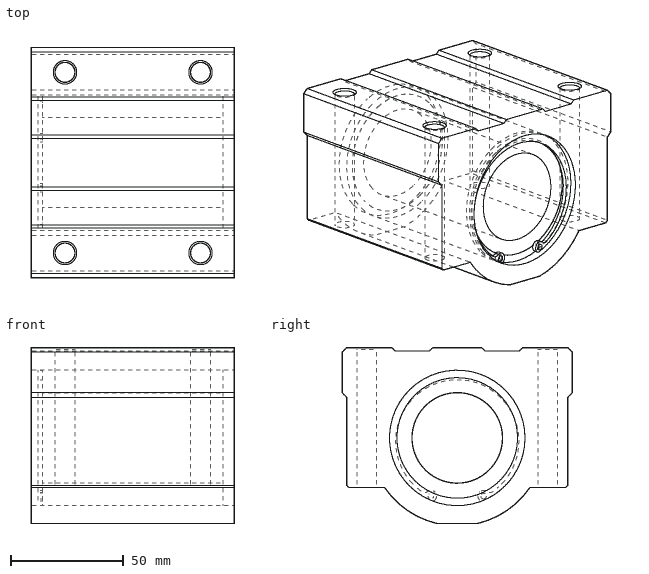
import cadquery as cq
import math


length = 90.0
bore_diameter = 60.0
top_z = 40.0
bottom_z = -38.0
flange_half_width = 51.0
flange_chamfer = 2.0
flange_bottom_z = 20.0
body_half_width = 49.0
body_bottom_z = -22.0
body_edge_chamfer = 1.0
belly_radius = 39.0

channel_depth = 1.5
channel_inner_y = 10.8
channel_outer_y = 29.0

hole_diameter = 8.7
hole_mouth_diameter = 10.4
hole_spacing_x = 60.0
hole_spacing_y = 80.0

bearing_length = 80.0
shaft_diameter = 40.0
seal_diameter = 53.4
seal_recess = 0.1

ring_thickness = 2.0
ring_opening_radius = 27.3
ring_opening_drop = 1.5
lug_y = 11.65
lug_center_radius = 28.25
lug_radius = 2.5
lug_hole_diameter = 2.5
lug_blend_radius = 2.0

bore_radius = bore_diameter / 2


def x_cylinder(radius, start_x, depth, y=0.0, z=0.0):
    """Cylinder along +X from start_x, with its axis at (y, z)."""
    return cq.Workplane("YZ", origin=(start_x, y, z)).circle(radius).extrude(depth)


def make_housing():
    belly_start_y = math.sqrt(belly_radius**2 - body_bottom_z**2)
    belly_flat_y = math.sqrt(belly_radius**2 - bottom_z**2)
    belly_mid = belly_radius / math.sqrt(2)
    step = flange_half_width - body_half_width

    block = (
        cq.Workplane("YZ", origin=(-length / 2, 0, 0))
        .moveTo(0, top_z)
        .lineTo(flange_half_width - flange_chamfer, top_z)
        .lineTo(flange_half_width, top_z - flange_chamfer)
        .lineTo(flange_half_width, flange_bottom_z)
        .lineTo(body_half_width, flange_bottom_z - step)
        .lineTo(body_half_width, body_bottom_z + body_edge_chamfer)
        .lineTo(body_half_width - body_edge_chamfer, body_bottom_z)
        .lineTo(belly_start_y, body_bottom_z)
        .threePointArc((belly_mid, -belly_mid), (belly_flat_y, bottom_z))
        .lineTo(0, bottom_z)
        .mirrorY()
        .extrude(length)
    )
    for side in (-1, 1):
        block = block.cut(make_channel(side))
    block = block.cut(x_cylinder(bore_radius, -length / 2, length))
    return cut_mounting_holes(block)


def make_channel(side):
    """Channel with 45-degree flanks, on the +Y (side = 1) or -Y (side = -1) half of the top."""
    floor_z = top_z - channel_depth
    return (
        cq.Workplane("YZ", origin=(-length / 2, 0, 0))
        .polyline([
            (side * channel_inner_y, top_z),
            (side * (channel_inner_y + channel_depth), floor_z),
            (side * (channel_outer_y - channel_depth), floor_z),
            (side * channel_outer_y, top_z),
        ])
        .close()
        .extrude(length)
    )


def cut_mounting_holes(block):
    """Four through holes with 45-degree countersunk mouths on the top face."""
    return (
        block.copyWorkplane(cq.Workplane("XY", origin=(0, 0, top_z)))
        .rarray(hole_spacing_x, hole_spacing_y, 2, 2)
        .cskHole(hole_diameter, hole_mouth_diameter, 90)
    )


def make_bearing():
    """Sleeve with a shallow round seal recess in each end face."""
    end_x = bearing_length / 2
    sleeve = x_cylinder(bore_radius, -end_x, bearing_length)
    sleeve = sleeve.cut(x_cylinder(shaft_diameter / 2, -end_x, bearing_length))
    for recess_x in (-end_x, end_x - seal_recess):
        sleeve = sleeve.cut(x_cylinder(seal_diameter / 2, recess_x, seal_recess))
    return sleeve


def make_ring():
    """Ring with an off-centre opening, open at the bottom between two drilled lugs."""
    start_x = -bearing_length / 2 - ring_thickness
    lug_z = -math.sqrt(lug_center_radius**2 - lug_y**2)
    bore_disc = x_cylinder(bore_radius, start_x, ring_thickness)
    ring = bore_disc.cut(x_cylinder(ring_opening_radius, start_x, ring_thickness, z=-ring_opening_drop))

    reach = 2.0
    gap = (
        cq.Workplane("YZ", origin=(start_x, 0, 0))
        .polyline([(0, 0), (-reach * lug_y, reach * lug_z), (reach * lug_y, reach * lug_z)])
        .close()
        .extrude(ring_thickness)
    )
    ring = ring.cut(gap)
    for side in (-1, 1):
        lug = x_cylinder(lug_radius, start_x, ring_thickness, y=side * lug_y, z=lug_z)
        ring = ring.union(lug.intersect(bore_disc))

    for side in (-1, 1):
        corner_box = cq.selectors.BoxSelector(
            (start_x - ring_thickness, side * lug_y, lug_z - lug_radius),
            (start_x + 2 * ring_thickness, side * (lug_y + 2 * lug_radius), lug_z + 2 * lug_radius),
        )
        ring = ring.edges("|X").edges(corner_box).fillet(lug_blend_radius)
        ring = ring.cut(x_cylinder(lug_hole_diameter / 2, start_x, ring_thickness, y=side * lug_y, z=lug_z))
    return ring


housing = make_housing()
bearing = make_bearing()
ring = make_ring()

result = cq.Compound.makeCompound([housing.val(), bearing.val(), ring.val()])